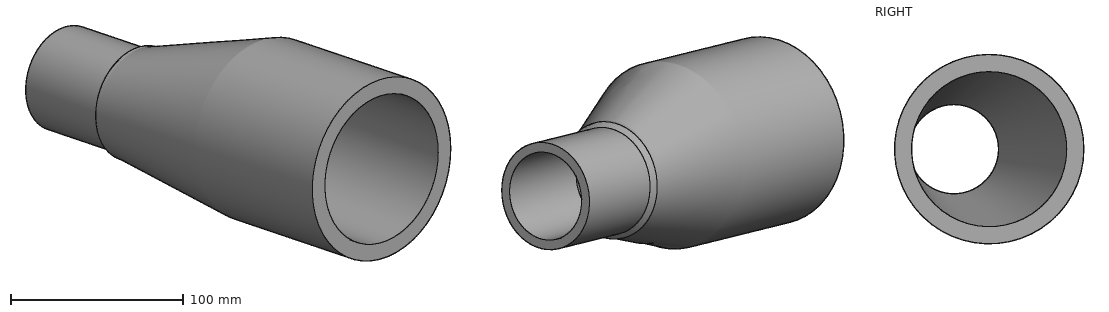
import cadquery as cq

total_length = 247.0
large_diameter = 110.0
large_bore = 90.0
small_diameter = 63.0
small_bore = 51.5
collar_diameter = 69.0
collar_width = 3.0
small_pipe_length = 59.8
large_pipe_length = 99.5

chamfer_length = (collar_diameter - small_diameter) / 2
collar_start = small_pipe_length + chamfer_length
cone_start = collar_start + collar_width
cone_end = total_length - large_pipe_length

small_axis_y = -(large_diameter - collar_diameter) / 2
large_axis_y = 0.0


def section(x, axis_y, diameter):
    """Circular section across the pipe at position x."""
    return cq.Wire.makeCircle(diameter / 2, cq.Vector(x, axis_y, 0), cq.Vector(1, 0, 0))


def straight(start, end, axis_y, diameter):
    """Cylinder along X between two positions."""
    profile = cq.Workplane("YZ", origin=(start, axis_y, 0)).circle(diameter / 2)
    return profile.extrude(end - start)


def taper(first, second):
    """Ruled solid between two circular sections."""
    return cq.Workplane(obj=cq.Solid.makeLoft([first, second], True))


def reducer_cone(small_end_diameter, large_end_diameter):
    """Oblique cone joining the small axis to the large axis."""
    return taper(
        section(cone_start, small_axis_y, small_end_diameter),
        section(cone_end, large_axis_y, large_end_diameter),
    )


collar_chamfer = taper(
    section(small_pipe_length, small_axis_y, small_diameter),
    section(collar_start, small_axis_y, collar_diameter),
)
body = (
    straight(0, small_pipe_length, small_axis_y, small_diameter)
    .union(collar_chamfer)
    .union(straight(collar_start, cone_start, small_axis_y, collar_diameter))
    .union(reducer_cone(collar_diameter, large_diameter))
    .union(straight(cone_end, total_length, large_axis_y, large_diameter))
)

passage = (
    straight(0, cone_start, small_axis_y, small_bore)
    .union(reducer_cone(small_bore, large_bore))
    .union(straight(cone_end, total_length, large_axis_y, large_bore))
)

result = body.cut(passage)